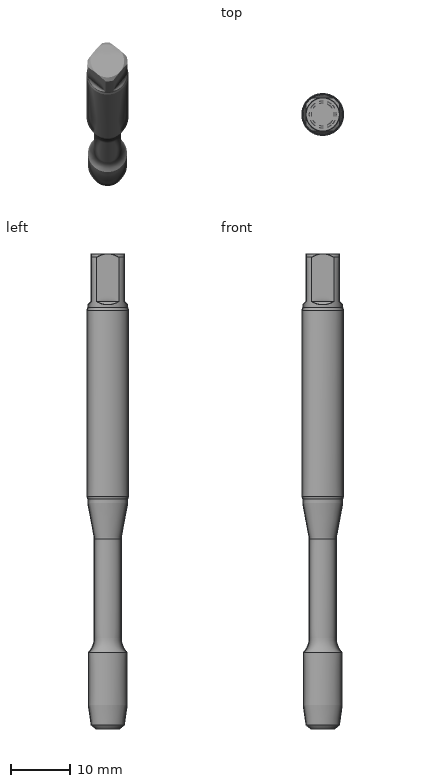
import cadquery as cq
import math

length = 80.0
tip_chamfer_top = 0.7
lead_top = 4.0
thread_top = 12.9
neck_bottom = 15.3
head_top = 32.0
taper_bottom = 32.2
taper_top = 38.0
shank_bottom_chamfer_start = 38.7
shank_bottom = 39.2
shank_top = 70.5
shank_top_chamfer_end = 71.0
flat_bottom = 72.0

shank_radius = 7.0 / 2
collar_radius = 6.7 / 2
thread_radius = 6.6 / 2
neck_radius = 4.6 / 2
lead_radius = 2.8
tip_radius = 1.9

square_width = 5.6
square_half = square_width / 2
drive_chamfer = collar_radius - square_half


def make_cutting_head():
    """Revolved threaded section with a tapered lead and chamfered tip, flaring concavely into the neck."""
    flare_height = neck_bottom - thread_top
    flare_width = thread_radius - neck_radius
    flare_arc_radius = (flare_height**2 + flare_width**2) / (2 * flare_width)
    half_angle = math.asin(flare_height / flare_arc_radius) / 2
    flare_mid = (
        neck_radius + flare_arc_radius * (1 - math.cos(half_angle)),
        neck_bottom - flare_arc_radius * math.sin(half_angle),
    )
    return (
        cq.Workplane("XZ")
        .lineTo(tip_radius, 0)
        .lineTo(lead_radius, tip_chamfer_top)
        .lineTo(thread_radius, lead_top)
        .lineTo(thread_radius, thread_top)
        .threePointArc(flare_mid, (neck_radius, neck_bottom))
        .lineTo(neck_radius, head_top)
        .lineTo(0, head_top)
        .close()
        .revolve(360, (0, 0, 0), (0, 1, 0))
    )


def make_round_shank():
    """Revolved shank, tapering down to the neck where it meets the cutting head."""
    return (
        cq.Workplane("XZ")
        .moveTo(0, head_top)
        .lineTo(neck_radius, head_top)
        .lineTo(neck_radius, taper_bottom)
        .lineTo(collar_radius, taper_top)
        .lineTo(collar_radius, shank_bottom_chamfer_start)
        .lineTo(shank_radius, shank_bottom)
        .lineTo(shank_radius, shank_top)
        .lineTo(collar_radius, shank_top_chamfer_end)
        .lineTo(collar_radius, length - drive_chamfer)
        .lineTo(square_half, length)
        .lineTo(0, length)
        .close()
        .revolve(360, (0, 0, 0), (0, 1, 0))
    )


def make_flat_cutter():
    """Prism that mills the +X flat of the drive, running out at 45 degrees below."""
    runout = shank_radius - square_half
    return (
        cq.Workplane("XZ")
        .moveTo(square_half, length)
        .lineTo(square_half, flat_bottom)
        .lineTo(shank_radius, flat_bottom - runout)
        .lineTo(shank_radius, length)
        .close()
        .extrude(shank_radius, both=True)
    )


def make_shank():
    """Shank with four flats forming the square drive."""
    shank = make_round_shank()
    flat_count = 4
    for index in range(flat_count):
        angle = index * 360 / flat_count
        shank = shank.cut(make_flat_cutter().rotate((0, 0, 0), (0, 0, 1), angle))
    return shank


cutting_head = make_cutting_head()
shank = make_shank()

result = cq.Compound.makeCompound([cutting_head.val(), shank.val()])